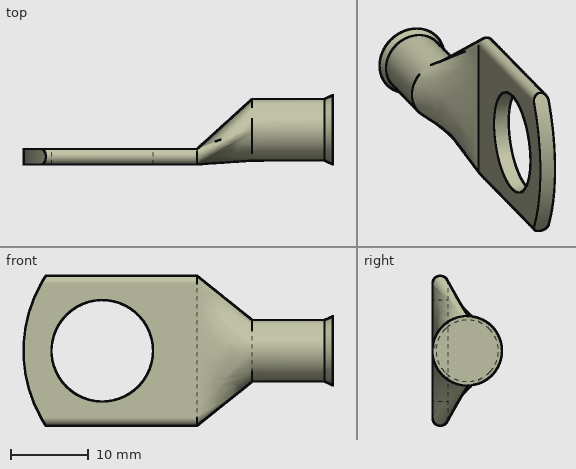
import cadquery as cq
import math

length = 39.8
plate_width = 19.3
plate_thickness = 2.05
plate_end_x = 22.35
nose_radius = 17.5
hole_x = 10.15
hole_diameter = 13.0

barrel_start_x = 29.4
flare_start_x = 38.75
barrel_radius = 4.0
flare_diameter = 8.95
flare_radius = flare_diameter / 2
barrel_y = flare_radius

side_half_angle = math.radians(6)

half_width = plate_width / 2
edge_radius = plate_thickness / 2
flat_half_width = half_width - edge_radius


def section_plane(x):
    return cq.Workplane("YZ", origin=(x, 0, 0))


def plate_section(x):
    """Flat section with semicircular ends."""
    return (
        section_plane(x)
        .moveTo(0, -flat_half_width)
        .lineTo(0, flat_half_width)
        .threePointArc((edge_radius, half_width), (plate_thickness, flat_half_width))
        .lineTo(plate_thickness, -flat_half_width)
        .threePointArc((edge_radius, -half_width), (0, -flat_half_width))
        .close()
    )


def barrel_section(x):
    """Circle split into four arcs that pair with the plate section's four edges."""
    side_y = barrel_radius * math.sin(side_half_angle)
    side_z = barrel_radius * math.cos(side_half_angle)
    return (
        section_plane(x)
        .moveTo(barrel_y - side_y, -side_z)
        .threePointArc((barrel_y - barrel_radius, 0), (barrel_y - side_y, side_z))
        .threePointArc((barrel_y, barrel_radius), (barrel_y + side_y, side_z))
        .threePointArc((barrel_y + barrel_radius, 0), (barrel_y + side_y, -side_z))
        .threePointArc((barrel_y, -barrel_radius), (barrel_y - side_y, -side_z))
        .close()
    )


def make_plate():
    blade = plate_section(0).extrude(plate_end_x)
    corner_x = nose_radius - math.sqrt(nose_radius**2 - half_width**2)
    outline = (
        cq.Workplane("XZ")
        .moveTo(corner_x, half_width)
        .threePointArc((0, 0), (corner_x, -half_width))
        .lineTo(plate_end_x, -half_width)
        .lineTo(plate_end_x, half_width)
        .close()
        .extrude(-plate_thickness)
    )
    hole = (
        cq.Workplane("XZ")
        .center(hole_x, 0)
        .circle(hole_diameter / 2)
        .extrude(-plate_thickness)
    )
    return blade.intersect(outline).cut(hole)


def make_transition():
    plate_wire = plate_section(plate_end_x).val()
    barrel_wire = barrel_section(barrel_start_x).val()
    return cq.Workplane(cq.Solid.makeLoft([plate_wire, barrel_wire], True))


def make_barrel():
    """Tapered mouth and cylinder revolved about the barrel axis."""
    return (
        cq.Workplane("XY", origin=(0, barrel_y, 0))
        .moveTo(barrel_start_x, 0)
        .lineTo(barrel_start_x, barrel_radius)
        .lineTo(flare_start_x, barrel_radius)
        .lineTo(length, flare_radius)
        .lineTo(length, 0)
        .close()
        .revolve(360, (0, 0, 0), (1, 0, 0))
    )


result = make_plate().union(make_transition()).union(make_barrel())